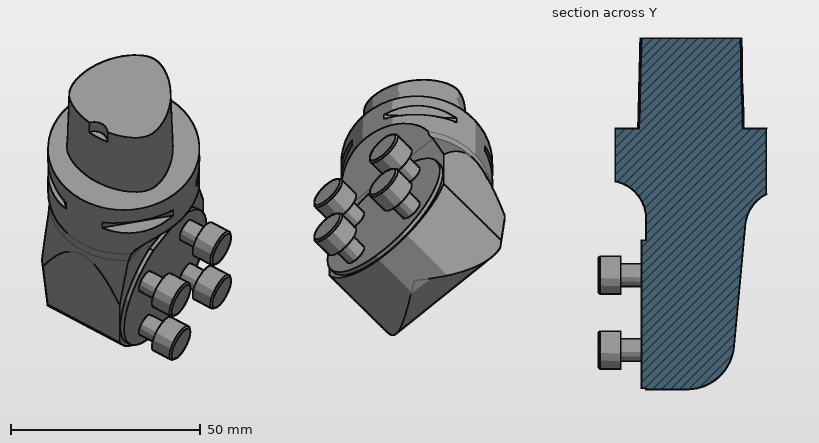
import cadquery as cq
import math

total_height = 92.8
overall_length_x = 44.45
shank_height = 23.85
bottom_z = shank_height - total_height

shank_radius = 14.0
lobe_offset = 1.0
taper_per_side = 1 / 40
shank_curve_points = 36
key_radius = 3.5
key_center_y = -14.3
key_depth = 4.3

flange_radius = 40.0 / 2
flange_bottom_z = -19.9
slot_z = -8.1
slot_floor_height = 2.3
slot_floor_distance = 17.5
slot_flank_angle = 30.0
slot_length = 27.8
slot_mouth_distance = 21.3

neck_radius = 19.7
neck_z = -21.3
cone_top_radius = flange_radius
cone_top_z = -22.9
cone_half_angle = 13.0

head_half_width = 20.3
head_front_x = 11.9
back_top_x = -14.4
back_top_z = -25.4
back_angle = 5.3
back_chamfer = 0.9
heel_radius = 12.6
bottom_radius = 21.9
relief_radius = 10.0
front_relief_z = -23.85

disc_radius = flange_radius
disc_z = -48.6
disc_top_z = -29.5
disc_thickness = 1.2
screw_pitch = 19.8
screw_radius = 6.0 / 2
screw_head_radius = 10.0 / 2
screw_head_start_x = 18.5
screw_end_x = overall_length_x - flange_radius
screw_head_chamfer = 0.5


def lobed_outline(mean_radius):
    """Points of a constant-width curve with three lobes, one lobe toward +Y."""
    points = []
    for i in range(shank_curve_points):
        angle = 2 * math.pi * i / shank_curve_points
        reach = mean_radius - lobe_offset * math.sin(3 * angle)
        slope = -3 * lobe_offset * math.cos(3 * angle)
        x = reach * math.cos(angle) - slope * math.sin(angle)
        y = reach * math.sin(angle) + slope * math.cos(angle)
        points.append((x, y))
    return points


def make_shank():
    top_radius = shank_radius - shank_height * taper_per_side
    shank = (
        cq.Workplane("XY")
        .spline(lobed_outline(shank_radius), periodic=True).close()
        .workplane(offset=shank_height)
        .spline(lobed_outline(top_radius), periodic=True).close()
        .loft(ruled=True)
    )
    keyway = (
        cq.Workplane("XY", origin=(0, key_center_y, shank_height - key_depth))
        .circle(key_radius).extrude(key_depth)
    )
    return shank.cut(keyway)


def make_turned_body():
    """Flange, shallow neck groove and widening cone as one revolved body."""
    cone_height = cone_top_z - bottom_z
    cone_base_radius = cone_top_radius + cone_height * math.tan(math.radians(cone_half_angle))
    return (
        cq.Workplane("XZ")
        .lineTo(flange_radius, 0)
        .lineTo(flange_radius, flange_bottom_z)
        .threePointArc((neck_radius, neck_z), (cone_top_radius, cone_top_z))
        .lineTo(cone_base_radius, bottom_z)
        .lineTo(0, bottom_z)
        .close()
        .revolve(360, (0, 0), (0, 1))
    )


def make_gripper_slot(direction):
    depth = slot_mouth_distance - slot_floor_distance
    floor_half = slot_floor_height / 2
    mouth_half = floor_half + depth * math.tan(math.radians(slot_flank_angle))
    return (
        cq.Workplane("XZ", origin=(0, slot_length / 2, slot_z))
        .polyline([
            (slot_floor_distance, -floor_half),
            (slot_mouth_distance, -mouth_half),
            (slot_mouth_distance, mouth_half),
            (slot_floor_distance, floor_half),
        ])
        .close()
        .extrude(slot_length)
        .rotate((0, 0, 0), (0, 0, 1), direction)
    )


def make_side_envelope():
    """Prism along Y: sloping back with rounded heel, flat front, concave reliefs under the flange."""
    slope = math.tan(math.radians(back_angle))
    top_x = back_top_x + back_top_z * slope
    bottom_x = back_top_x + (back_top_z - bottom_z) * slope
    head = (
        cq.Workplane("XZ", origin=(0, head_half_width, 0))
        .polyline([(top_x, 0), (head_front_x, 0), (head_front_x, bottom_z), (bottom_x, bottom_z)])
        .close()
        .extrude(2 * head_half_width)
    )
    head = head.faces("<X").edges("<Y or >Y").chamfer(back_chamfer)
    head = head.faces("<Z").edges("<X").fillet(heel_radius)

    rim_block = (
        cq.Workplane("XZ", origin=(0, head_half_width, 0))
        .polyline([
            (-flange_radius, 0),
            (flange_radius, 0),
            (flange_radius, front_relief_z),
            (head_front_x, front_relief_z),
            (back_top_x, back_top_z),
            (-flange_radius, back_top_z),
        ])
        .close()
        .extrude(2 * head_half_width)
    )
    back_center_x = back_top_x - relief_radius * math.cos(math.radians(back_angle))
    back_center_z = back_top_z - relief_radius * math.sin(math.radians(back_angle))
    front_center_x = head_front_x + relief_radius
    envelope = head.union(rim_block)
    for center_x, center_z in ((back_center_x, back_center_z), (front_center_x, front_relief_z)):
        cutter = (
            cq.Workplane("XZ", origin=(center_x, head_half_width, center_z))
            .circle(relief_radius).extrude(2 * head_half_width)
        )
        envelope = envelope.cut(cutter)
    return envelope


def make_back_envelope():
    """Prism along X with a rounded lower end."""
    drop = bottom_radius - math.sqrt(bottom_radius ** 2 - head_half_width ** 2)
    side_end_z = bottom_z + drop
    return (
        cq.Workplane("YZ", origin=(-flange_radius, 0, 0))
        .moveTo(-head_half_width, 0)
        .lineTo(-head_half_width, side_end_z)
        .threePointArc((0, bottom_z), (head_half_width, side_end_z))
        .lineTo(head_half_width, 0)
        .close()
        .extrude(2 * flange_radius)
    )


def make_coupling_disc():
    """Disc on the front face, cut flat along its upper edge."""
    disc = (
        cq.Workplane("YZ", origin=(head_front_x, 0, disc_z))
        .circle(disc_radius).extrude(disc_thickness)
    )
    flat_cut = (
        cq.Workplane("XY", origin=(head_front_x, 0, disc_top_z))
        .rect(4 * disc_thickness, 2 * disc_radius).extrude(disc_radius)
    )
    return disc.cut(flat_cut)


def make_screws():
    """Four screws in a square, with shafts standing out of the disc and chamfered heads."""
    shafts = (
        cq.Workplane("YZ", origin=(head_front_x, 0, disc_z))
        .rarray(screw_pitch, screw_pitch, 2, 2)
        .circle(screw_radius).extrude(screw_head_start_x - head_front_x)
    )
    heads = (
        cq.Workplane("YZ", origin=(screw_head_start_x, 0, disc_z))
        .rarray(screw_pitch, screw_pitch, 2, 2)
        .circle(screw_head_radius).extrude(screw_end_x - screw_head_start_x)
        .faces(">X").chamfer(screw_head_chamfer)
    )
    return shafts.union(heads)


body = make_turned_body().intersect(make_side_envelope()).intersect(make_back_envelope())
for slot_direction in (45, 135, 225, 315):
    body = body.cut(make_gripper_slot(slot_direction))

result = body.union(make_shank()).union(make_coupling_disc()).union(make_screws())